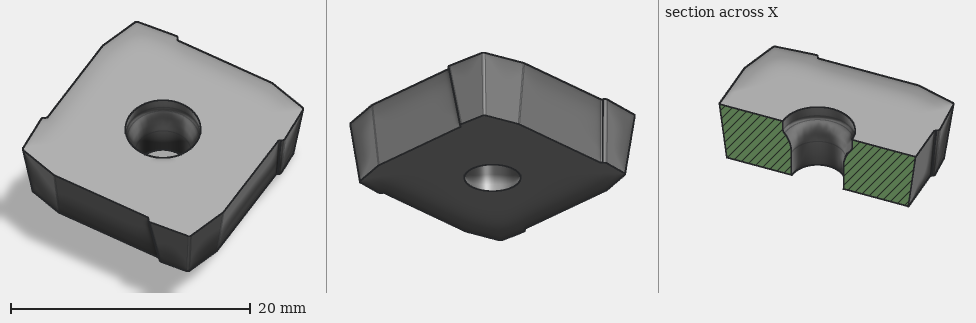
import cadquery as cq
import math


thickness = 5.5
relief_angle = 7.0
side_distance = 8.95
quarter_count = 4

tip_x = 7.88
tip_y = -8.99
wiper_tilt = 5.0
tip_radius = 0.24
chamfer_angle = 73.9
chamfer_end_radius = 0.5

step_root_x = 3.88
step_angle = 70.0
step_root_radius = 0.2
step_crest_radius = 0.3

bore_radius = 4.7 / 2
head_radius = 6.28 / 2
seat_bottom_depth = 3.0
seat_angle = 41.0
seat_blend_radius = 0.5

bottom_inset = thickness * math.tan(math.radians(relief_angle))


def direction(angle):
    """Unit vector at an angle in degrees."""
    return cq.Vector(math.cos(math.radians(angle)), math.sin(math.radians(angle)))


def inset_line(point, angle, inset):
    """Line (point, direction) moved to its left, which is toward the part's inside."""
    return point + direction(angle + 90) * inset, direction(angle)


def intersection(line_a, line_b):
    point_a, along_a = line_a
    point_b, along_b = line_b
    distance = (point_b - point_a).cross(along_b).z / along_a.cross(along_b).z
    return point_a + along_a * distance


def rounded_corner(before, corner, after, radius):
    """Start, middle and end of the arc that rounds a corner."""
    to_before = (before - corner).normalized()
    to_after = (after - corner).normalized()
    half_angle = to_before.getAngle(to_after) / 2
    setback = radius / math.tan(half_angle)
    middle_setback = radius / math.sin(half_angle) - radius
    bisector = (to_before + to_after).normalized()
    return (
        corner + to_before * setback,
        corner + bisector * middle_setback,
        corner + to_after * setback,
    )


def quarter_corners(inset):
    """Sharp corners of the -Y side: step root, step crest, wiper tip, chamfer end."""
    tip = cq.Vector(tip_x, tip_y)
    step_root = cq.Vector(step_root_x + inset, -side_distance + inset)
    step_face = (step_root, direction(-step_angle))
    wiper = inset_line(tip, wiper_tilt, inset)
    chamfer = inset_line(tip, chamfer_angle, inset)
    next_flank = inset_line(cq.Vector(side_distance, 0), 90, inset)
    return (
        step_root,
        intersection(step_face, wiper),
        intersection(wiper, chamfer),
        intersection(chamfer, next_flank),
    )


def turned(point, quarter):
    """X and Y of a point turned about the centre by a number of quarters."""
    turn = math.radians(quarter * 360 / quarter_count)
    x = point.x * math.cos(turn) - point.y * math.sin(turn)
    y = point.x * math.sin(turn) + point.y * math.cos(turn)
    return x, y


def outline(height, inset):
    """Closed wire of the insert's outline at one height."""
    root, crest, tip, chamfer_end = quarter_corners(inset)
    flank_start = cq.Vector(*turned(chamfer_end, -1))
    next_root = cq.Vector(*turned(root, 1))
    arcs = (
        rounded_corner(flank_start, root, crest, step_root_radius),
        rounded_corner(root, crest, tip, step_crest_radius),
        rounded_corner(crest, tip, chamfer_end, tip_radius),
        rounded_corner(tip, chamfer_end, next_root, chamfer_end_radius),
    )
    path_start = arcs[-1][-1]
    path = cq.Workplane("XY", origin=(0, 0, height)).moveTo(*turned(path_start, -1))
    for quarter in range(quarter_count):
        for start, middle, end in arcs:
            path = path.lineTo(*turned(start, quarter))
            path = path.threePointArc(turned(middle, quarter), turned(end, quarter))
    return path.close().val()


def insert_body():
    top = outline(thickness, 0)
    bottom = outline(0, bottom_inset)
    return cq.Workplane(cq.Solid.makeLoft([bottom, top], True))


def screw_hole():
    """Bore, convex seat, concave blend and cylindrical head recess, turned about Z."""
    slope = math.radians(seat_angle)
    narrowing = 1 - math.cos(slope)
    seat_radius = (head_radius - bore_radius) / narrowing - seat_blend_radius
    seat_bottom = thickness - seat_bottom_depth
    blend_bottom = seat_bottom + seat_radius * math.sin(slope)
    blend_top = blend_bottom + seat_blend_radius * math.sin(slope)

    def seat_point(angle):
        x = bore_radius + seat_radius * (1 - math.cos(angle))
        return x, seat_bottom + seat_radius * math.sin(angle)

    def blend_point(angle):
        x = head_radius - seat_blend_radius * (1 - math.cos(angle))
        return x, blend_top - seat_blend_radius * math.sin(angle)

    profile = (
        cq.Workplane("XZ")
        .lineTo(bore_radius, 0)
        .lineTo(bore_radius, seat_bottom)
        .threePointArc(seat_point(slope / 2), seat_point(slope))
        .threePointArc(blend_point(slope / 2), (head_radius, blend_top))
        .lineTo(head_radius, thickness)
        .lineTo(0, thickness)
        .close()
    )
    return profile.revolve(360, (0, 0, 0), (0, 1, 0))


result = insert_body().cut(screw_hole())